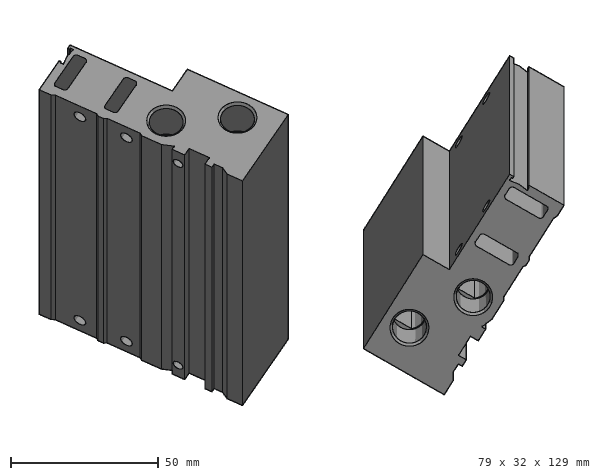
import cadquery as cq
import math

width = 79.0
depth = 32.0
length = 129.0
step_x = 39.7
thin_depth = 21.5

shallow = 0.6
left_recess = (4.5, 5.9, 21.9, 22.8)
right_recess = (25.0, 26.0, 38.8, 39.7)
ramp_depth = 1.5
ramp_start = 47.5
ramp_end = 51.6
channel_left = 56.5
channel_right = 64.4
channel_depth = 3.1
notch_left = 67.1
notch_floor_end = 70.3
notch_right = 73.0

groove_y = 16.9
groove_half_opening = 3.0
groove_half_inside = 3.5
groove_lip = 0.8
groove_crown_depth = 1.4
groove_edge_depth = 1.9

passage_width = 5.0
passage_height = 15.1
passage_radius = 1.23
passage_centers = [(5.8, 11.5), (25.3, 11.5)]

port_diameter = 11.5
port_depth = 15.5
port_chamfer = 0.84
joint_diameter = 10.8
ports = [
    (44.0, 9.5, 8.8),
    (64.5, 22.5, 8.5),
]

mount_diameter = 4.5
mount_end_distance = 6.0
mount_xs = [15.5, 33.5]
blind_diameter = 3.7
blind_depth = 10.3
blind_end_distance = 6.6
blind_x = 53.9
drill_tip_angle = 118.0


def recess_points(stations):
    """Corner points of a shallow recess with sloped sides."""
    lip_start, floor_start, floor_end, lip_end = stations
    return [(lip_start, 0), (floor_start, shallow), (floor_end, shallow), (lip_end, 0)]


def body():
    """Stepped bar with its -Y face profile."""
    outline = [(0, 0)]
    outline += recess_points(left_recess)
    outline += recess_points(right_recess)
    outline += [
        (ramp_start, 0),
        (ramp_end, ramp_depth),
        (ramp_end, 0),
        (channel_left, 0),
        (channel_left, channel_depth),
        (channel_right, channel_depth),
        (channel_right, 0),
        (notch_left, 0),
        (notch_left, ramp_depth),
        (notch_floor_end, ramp_depth),
        (notch_right, 0),
        (width, 0),
        (width, depth),
        (step_x, depth),
        (step_x, thin_depth),
        (0, thin_depth),
    ]
    return cq.Workplane("XY").polyline(outline).close().extrude(length)


def side_groove():
    """Undercut groove running the full length of the -X face."""
    outline = [
        (0, groove_y - groove_half_opening),
        (groove_lip, groove_y - groove_half_opening),
        (groove_lip, groove_y - groove_half_inside),
        (groove_edge_depth, groove_y - groove_half_inside),
        (groove_crown_depth, groove_y),
        (groove_edge_depth, groove_y + groove_half_inside),
        (groove_lip, groove_y + groove_half_inside),
        (groove_lip, groove_y + groove_half_opening),
        (0, groove_y + groove_half_opening),
    ]
    return cq.Workplane("XY").polyline(outline).close().extrude(length)


def passages():
    """Rounded rectangular passages running the full length."""
    return (
        cq.Workplane("XY")
        .pushPoints(passage_centers)
        .rect(passage_width, passage_height)
        .extrude(length)
        .edges("|Z")
        .fillet(passage_radius)
    )


def port(x, y, flat_width):
    """Chamfered bores at both ends, joined by a narrower bore with two flat sides."""
    round_joint = cq.Workplane("XY").center(x, y).circle(joint_diameter / 2).extrude(length)
    flats = cq.Workplane("XY").center(x, y).rect(flat_width, joint_diameter).extrude(length)
    top_z = length - port_depth
    rim_radius = port_diameter / 2 + port_chamfer
    cutter = round_joint.intersect(flats)
    for bore_z, rim_z, inward in [(0, 0, 1), (top_z, length, -1)]:
        bore = (
            cq.Workplane("XY", origin=(x, y, bore_z))
            .circle(port_diameter / 2)
            .extrude(port_depth)
        )
        chamfer = cq.Workplane(
            cq.Solid.makeCone(
                rim_radius,
                port_diameter / 2,
                port_chamfer,
                pnt=cq.Vector(x, y, rim_z),
                dir=cq.Vector(0, 0, inward),
            )
        )
        cutter = cutter.union(bore).union(chamfer)
    return cutter


def mount_hole(x, z):
    """Hole through the bar along Y."""
    return cq.Workplane("XZ", origin=(x, 0, z)).circle(mount_diameter / 2).extrude(-depth)


def blind_hole(x, z):
    """Blind hole in the -Y face with a conical drill tip."""
    radius = blind_diameter / 2
    tip = radius / math.tan(math.radians(drill_tip_angle / 2))
    half_section = [(0, 0), (radius, 0), (radius, blind_depth), (0, blind_depth + tip)]
    return (
        cq.Workplane("XY", origin=(x, 0, z))
        .polyline(half_section)
        .close()
        .revolve(360, (0, 0, 0), (0, 1, 0))
    )


result = body().cut(side_groove()).cut(passages())

for port_x, port_y, port_flat_width in ports:
    result = result.cut(port(port_x, port_y, port_flat_width))

for mount_x in mount_xs:
    for mount_z in (mount_end_distance, length - mount_end_distance):
        result = result.cut(mount_hole(mount_x, mount_z))

for blind_z in (blind_end_distance, length - blind_end_distance):
    result = result.cut(blind_hole(blind_x, blind_z))